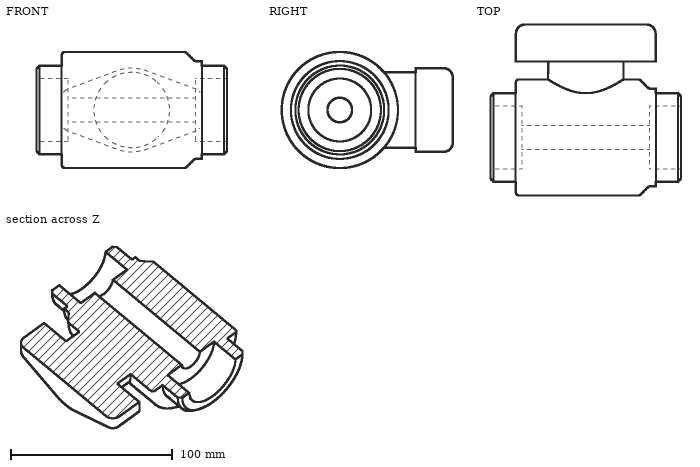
import cadquery as cq
import math

overall_length = 118.0
pipe_radius = 55.0 / 2
pipe_chamfer = 2.0
body_length = 86.6
body_radius = 72.0 / 2
collar_radius = 60.5 / 2
shoulder_start = 33.3
edge_fillet = 2.0

socket_radius = 38.9 / 2
socket_depth = 19.5
passage_radius = 15.1 / 2

stem_radius = 46.7 / 2
handle_bottom = 47.0
handle_top = 70.0
handle_length = body_length
hub_radius = 26.0
flank_angle = math.radians(20.4)
handle_corner_radius = 6.0
handle_top_fillet = 5.9


def make_pipe():
    """Pipe through the full length, chamfered at both ends."""
    pipe = cq.Workplane("YZ").circle(pipe_radius).extrude(overall_length / 2, both=True)
    return pipe.faces("<X or >X").chamfer(pipe_chamfer)


def make_body():
    """Barrel with a 45 degree shoulder down to a collar at +X."""
    half_length = body_length / 2
    shoulder_end = shoulder_start + body_radius - collar_radius
    outline = [
        (-half_length, 0),
        (-half_length, body_radius),
        (shoulder_start, body_radius),
        (shoulder_end, collar_radius),
        (half_length, collar_radius),
        (half_length, 0),
    ]
    body = cq.Workplane("XY").polyline(outline).close().revolve(360, (0, 0, 0), (1, 0, 0))
    rounded_x = (-half_length, shoulder_start, shoulder_end)
    rounded_edges = [
        edge for edge in body.edges("%CIRCLE").vals()
        if any(math.isclose(edge.Center().x, x, abs_tol=0.0001) for x in rounded_x)
    ]
    return body.newObject(rounded_edges).fillet(edge_fillet)


def make_stem():
    """Round stem from the body axis up to the handle."""
    return cq.Workplane("XZ").circle(stem_radius).extrude(-handle_bottom)


def make_handle():
    """Six-sided handle whose flanks are tangent to the round hub."""
    half_length = handle_length / 2
    peak = hub_radius / math.cos(flank_angle)
    end_half_width = peak - half_length * math.tan(flank_angle)
    outline = [
        (0, peak),
        (half_length, end_half_width),
        (half_length, -end_half_width),
        (0, -peak),
        (-half_length, -end_half_width),
        (-half_length, end_half_width),
    ]
    handle = (
        cq.Workplane("XZ", origin=(0, handle_bottom, 0))
        .polyline(outline)
        .close()
        .extrude(handle_bottom - handle_top)
    )
    handle = handle.edges("|Y and (<Z or >Z)").fillet(hub_radius)
    handle = handle.faces("<X or >X").edges("|Y").fillet(handle_corner_radius)
    return handle.faces(">Y").edges().fillet(handle_top_fillet)


def make_passage():
    """Through hole with an equal socket at each pipe end."""
    passage = cq.Workplane("YZ").circle(passage_radius).extrude(overall_length / 2, both=True)
    for end in (-1, 1):
        socket = (
            cq.Workplane("YZ", origin=(end * overall_length / 2, 0, 0))
            .circle(socket_radius)
            .extrude(-end * socket_depth)
        )
        passage = passage.union(socket)
    return passage


result = make_body().union(make_pipe()).union(make_stem()).union(make_handle()).cut(make_passage())